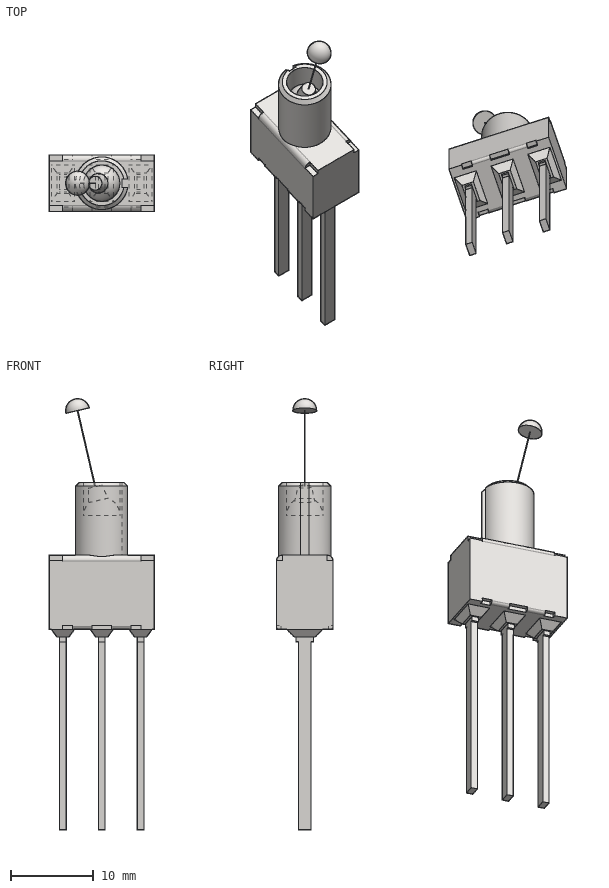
import cadquery as cq
import math

TOTAL_HEIGHT = 52.05
LEAD_DEPTH = 24.2
TOP_Z = TOTAL_HEIGHT - LEAD_DEPTH

CASE_LENGTH = 12.7
CASE_WIDTH = 6.85
CASE_HEIGHT = 8.95
END_STRIP = 1.6
PANEL_LENGTH = CASE_LENGTH - 2 * END_STRIP
TOP_ROUND = 0.75
BOTTOM_ROUND = 0.35
CORNER_STEP_DEPTH = 0.75
CORNER_STEP_HEIGHT = 0.6

LEAD_PITCH = 4.7
LEAD_POSITIONS = (-LEAD_PITCH, 0, LEAD_PITCH)
LEAD_THICKNESS = 0.85
LEAD_WIDTH = 1.5
COLLAR_WIDTH = 2.15
BLOB_LENGTH = 2.8
BLOB_WIDTH = 4.35
BLOB_HEIGHT = 0.95
BLOB_TIP_LENGTH = 1.45
BLOB_TIP_WIDTH = 2.5
COLLAR_BOTTOM = -1.5
RECESS_LENGTH = 2.35
RECESS_HEIGHT = 0.45
RECESS_DEPTH = 0.55

BUSHING_RADIUS = 3.2
BUSHING_TOP = 17.75
BUSHING_CHAMFER = 0.45
BORE_RADIUS = 4.35 / 2
KEYWAY_WIDTH = 1.05
KEYWAY_FLOOR = 2.45

TIP_RADIUS = 1.45
TIP_OFFSET = 2.9
TILT = 13.0
TIP_Z = TOP_Z - TIP_RADIUS
LEVER_LENGTH = TIP_OFFSET / math.sin(math.radians(TILT))
PIVOT_Z = TIP_Z - LEVER_LENGTH * math.cos(math.radians(TILT))
STUB_END_RADIUS = 1.65 / 2
STUB_ROOT_RADIUS = 1.2
STUB_ROOT = 1.75
STUB_END = 3.55
STEM_RADIUS = 0.05


def block(x_range, y_range, z_range):
    """Box between the given limits along each axis."""
    sizes = [high - low for low, high in (x_range, y_range, z_range)]
    corner = (x_range[0], y_range[0], z_range[0])
    return cq.Workplane("XY").box(*sizes, centered=False).translate(corner)


def centered_block(length, width, z_range):
    """Box centred on the Z axis between two heights."""
    return block((-length / 2, length / 2), (-width / 2, width / 2), z_range)


def make_case():
    """Rounded middle panel between two square end strips with stepped top corners."""
    panel = centered_block(PANEL_LENGTH, CASE_WIDTH, (0, CASE_HEIGHT))
    panel = panel.edges("|X and >Z").fillet(TOP_ROUND)
    panel = panel.edges("|X and <Z").fillet(BOTTOM_ROUND)
    step_z = CASE_HEIGHT - CORNER_STEP_HEIGHT
    strip_lower = centered_block(END_STRIP, CASE_WIDTH, (0, step_z))
    strip_upper = centered_block(END_STRIP, CASE_WIDTH - 2 * CORNER_STEP_DEPTH, (step_z, CASE_HEIGHT))
    strip = strip_lower.union(strip_upper)
    strip_x = (CASE_LENGTH - END_STRIP) / 2
    case = panel.union(strip.translate((-strip_x, 0, 0))).union(strip.translate((strip_x, 0, 0)))
    for lead_x in LEAD_POSITIONS:
        case = case.cut(make_recesses(lead_x))
    return case


def make_recesses(lead_x):
    """Pair of shallow bottom-edge recesses beside one lead, kept within the middle panel."""
    x_range = (
        max(lead_x - RECESS_LENGTH / 2, -PANEL_LENGTH / 2),
        min(lead_x + RECESS_LENGTH / 2, PANEL_LENGTH / 2),
    )
    y_range = (CASE_WIDTH / 2 - RECESS_DEPTH, CASE_WIDTH / 2)
    recess = block(x_range, y_range, (0, RECESS_HEIGHT))
    return recess.union(recess.mirror("XZ"))


def make_lead():
    """Tapered sealing blob with a wide collar and a long flat lead below it."""
    blob = (
        cq.Workplane("XY")
        .rect(BLOB_LENGTH, BLOB_WIDTH)
        .workplane(offset=-BLOB_HEIGHT)
        .rect(BLOB_TIP_LENGTH, BLOB_TIP_WIDTH)
        .loft(ruled=True)
    )
    collar = centered_block(LEAD_THICKNESS, COLLAR_WIDTH, (COLLAR_BOTTOM, 0))
    lead = centered_block(LEAD_THICKNESS, LEAD_WIDTH, (-LEAD_DEPTH, 0))
    return blob.union(collar).union(lead)


def make_bushing():
    """Chamfered bushing whose bore ends on the domed pivot ball, with a keyway on the +X side."""
    bushing = (
        cq.Workplane("XZ")
        .moveTo(0, CASE_HEIGHT / 2)
        .lineTo(BUSHING_RADIUS, CASE_HEIGHT / 2)
        .lineTo(BUSHING_RADIUS, BUSHING_TOP - BUSHING_CHAMFER)
        .lineTo(BUSHING_RADIUS - BUSHING_CHAMFER, BUSHING_TOP)
        .lineTo(BORE_RADIUS, BUSHING_TOP)
        .lineTo(BORE_RADIUS, PIVOT_Z)
        .radiusArc((0, PIVOT_Z + BORE_RADIUS), -BORE_RADIUS)
        .close()
        .revolve(360, (0, 0, 0), (0, 1, 0))
    )
    keyway = block(
        (KEYWAY_FLOOR, BUSHING_RADIUS),
        (-KEYWAY_WIDTH / 2, KEYWAY_WIDTH / 2),
        (CASE_HEIGHT, BUSHING_TOP),
    )
    return bushing.cut(keyway)


def make_lever():
    """Tapered stub, hair-thin stem and half-ball tip in one profile turned about the lever axis."""
    lever = (
        cq.Workplane("XZ")
        .lineTo(STUB_ROOT_RADIUS, 0)
        .lineTo(STUB_ROOT_RADIUS, STUB_ROOT)
        .lineTo(STUB_END_RADIUS, STUB_END)
        .lineTo(STEM_RADIUS, STUB_END)
        .lineTo(STEM_RADIUS, LEVER_LENGTH)
        .lineTo(TIP_RADIUS, LEVER_LENGTH)
        .radiusArc((0, LEVER_LENGTH + TIP_RADIUS), -TIP_RADIUS)
        .close()
        .revolve(360, (0, 0, 0), (0, 1, 0))
    )
    return lever.rotate((0, 0, 0), (0, 1, 0), -TILT).translate((0, 0, PIVOT_Z))


result = make_case().union(make_bushing()).union(make_lever())
for lead_x in LEAD_POSITIONS:
    result = result.union(make_lead().translate((lead_x, 0, 0)))